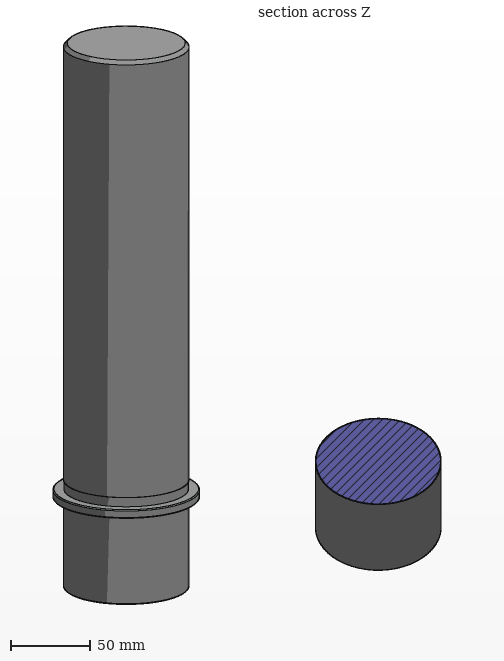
import cadquery as cq

total_height = 359.0
body_diameter = 79.7
neck_diameter = 79.0
neck_height = 6.0
undercut_height = 1.0
flange_diameter = 93.0
flange_bottom = 59.0
flange_thickness = 5.7
flange_chamfer = 0.7
top_chamfer = 2.5
bottom_chamfer = 0.7

flange_top = flange_bottom + flange_thickness
neck_top = flange_top + neck_height
shank_top = flange_bottom - undercut_height


def cylinder(diameter, bottom, top):
    """Upright cylinder on the Z axis between two heights."""
    return cq.Workplane("XY").workplane(offset=bottom).circle(diameter / 2).extrude(top - bottom)


body = cylinder(body_diameter, neck_top, total_height).faces(">Z").chamfer(top_chamfer)

neck = cylinder(neck_diameter, shank_top, neck_top)

flange = cylinder(flange_diameter, flange_bottom, flange_top).faces("|Z").chamfer(flange_chamfer)

shank = cylinder(body_diameter, 0, shank_top).faces("<Z").chamfer(bottom_chamfer)

result = shank.union(neck).union(flange).union(body)